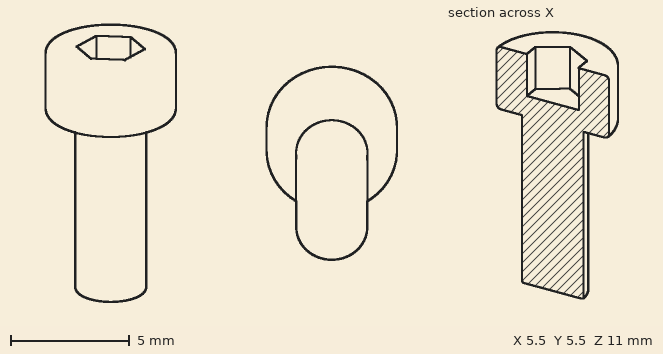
import cadquery as cq
import math

total_length = 11.0
head_diameter = 5.5
head_height = 3.0
head_fillet = 0.25
shank_diameter = 3.0
tip_fillet = 0.11
socket_across_flats = 2.5
socket_depth = 2.0

shank_length = total_length - head_height


def make_head():
    """Cylindrical head with both rims rounded."""
    return (
        cq.Workplane("XY", origin=(0, 0, shank_length))
        .circle(head_diameter / 2)
        .extrude(head_height)
        .edges()
        .fillet(head_fillet)
    )


def make_shank():
    """Plain shank with a rounded tip edge."""
    return (
        cq.Workplane("XY")
        .circle(shank_diameter / 2)
        .extrude(shank_length)
        .faces("<Z")
        .edges()
        .fillet(tip_fillet)
    )


def make_socket():
    """Hexagonal drive socket with two corners on the X axis."""
    across_corners = socket_across_flats / math.cos(math.pi / 6)
    return (
        cq.Workplane("XY", origin=(0, 0, total_length - socket_depth))
        .polygon(6, across_corners)
        .extrude(socket_depth)
    )


result = make_head().union(make_shank()).cut(make_socket())